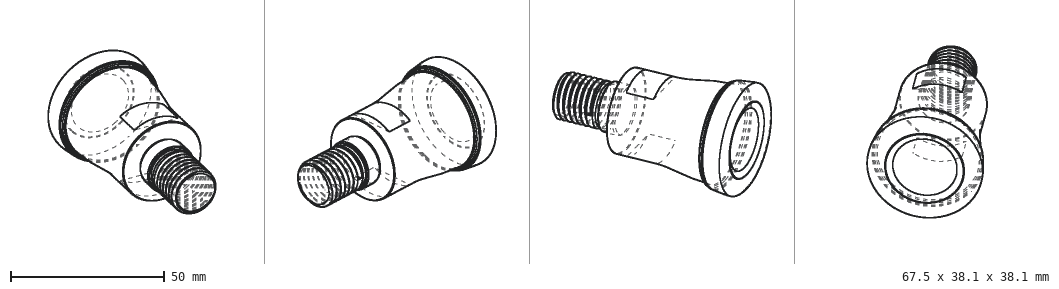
import cadquery as cq
import math

length = 67.45

recess_floor_radius = 10.6
recess_floor_x = 1.4
recess_mouth_radius = 12.8
recess_mouth_x = 0.5
lip_radius = 13.1
lip_x = 0.6
rim_peak_radius = 15.5
rim_shoulder_radius = 18.1
rim_shoulder_x = 0.4
head_radius = 38.1 / 2
head_edge_x = 1.3
head_land_end_x = 2.35

head_rear_radius = 18.4
groove_start_x = 7.75
groove_end_x = 8.2
groove_floor_radius = 18.1
collar_radius = 18.2
collar_edge_radius = 17.9
collar_chamfer_start_x = 9.05
collar_end_radius = 17.4
head_end_x = 9.45

waist_head_radius = 16.85
waist_cone_radius = 16.3
waist_cone_end_x = 16.2
waist_middle_radius = 15.6
waist_middle_x = 20.9
waist_body_radius = 14.7
waist_arc_end_x = 26.1
body_radius = 14.5
body_start_x = 29.1
body_end_x = 44.4
body_chamfer = 0.3

flat_spacing = 24.0
flat_width = 10.0
flat_center_x = 35.35
flat_fillet = 0.4

spigot_radius = 8.5
spigot_lead_radius = 8.15
spigot_lead_end_x = 45.2
spigot_end_x = 50.6
spigot_chamfer = 0.4
undercut_radius = 14.9 / 2
undercut_end_x = 51.8
thread_start_x = 52.6

thread_radius = 8.0
thread_root_radius = 6.75
ten_turn_advance = 20.0
thread_pitch = ten_turn_advance / 10
thread_root_width = 0.3
thread_flank_angle = 30.0
thread_cut_margin = 0.15
groove_first_x = 53.8
groove_run_out = 1.0
end_chamfer = 0.95


def turned_body():
    """Revolve the half outline, drawn as (X, radius), about the X axis."""
    outline = (
        cq.Workplane("XY")
        .moveTo(recess_floor_x, 0)
        .lineTo(recess_floor_x, recess_floor_radius)
        .lineTo(recess_mouth_x, recess_mouth_radius)
        .lineTo(lip_x, lip_radius)
        .spline(
            [
                (0, rim_peak_radius),
                (rim_shoulder_x, rim_shoulder_radius),
                (head_edge_x, head_radius),
            ],
            tangents=[None, (0, 1), None, None],
            includeCurrent=True,
        )
        .lineTo(head_land_end_x, head_radius)
        .lineTo(groove_start_x, head_rear_radius)
        .lineTo(groove_start_x, groove_floor_radius)
        .lineTo(groove_end_x, groove_floor_radius)
        .lineTo(groove_end_x, collar_radius)
        .lineTo(collar_chamfer_start_x, collar_edge_radius)
        .lineTo(head_end_x, collar_end_radius)
        .lineTo(head_end_x, waist_head_radius)
        .lineTo(waist_cone_end_x, waist_cone_radius)
        .threePointArc((waist_middle_x, waist_middle_radius), (waist_arc_end_x, waist_body_radius))
        .lineTo(body_start_x, body_radius)
        .lineTo(body_end_x - body_chamfer, body_radius)
        .lineTo(body_end_x, body_radius - body_chamfer)
        .lineTo(body_end_x, spigot_lead_radius)
        .lineTo(spigot_lead_end_x, spigot_radius)
        .lineTo(spigot_end_x - spigot_chamfer, spigot_radius)
        .lineTo(spigot_end_x, spigot_radius - spigot_chamfer)
        .lineTo(spigot_end_x, undercut_radius)
        .lineTo(undercut_end_x, undercut_radius)
        .lineTo(thread_start_x, thread_radius)
        .lineTo(length - end_chamfer, thread_radius)
        .lineTo(length, thread_radius - end_chamfer)
        .lineTo(length, 0)
        .close()
    )
    return outline.revolve(360, (0, 0, 0), (1, 0, 0))


def flat_cutter(side):
    """Block that mills one wrench flat on the +Z (side = 1) or -Z (side = -1) face."""
    depth = body_radius
    block = cq.Workplane("XY").box(flat_width, 2 * body_radius, depth)
    block = block.edges("|Y").fillet(flat_fillet)
    return block.translate((flat_center_x, 0, side * (flat_spacing + depth) / 2))


def thread_cutter():
    """V-shaped ridge swept along a helix, starting on the +Y side of the stub."""
    outer_radius = thread_radius + thread_cut_margin
    root_half = thread_root_width / 2
    flank_run = (outer_radius - thread_root_radius) * math.tan(math.radians(thread_flank_angle))
    outer_half = root_half + flank_run
    helix_height = length + groove_run_out - groove_first_x
    helix = cq.Wire.makeHelix(thread_pitch, helix_height, thread_root_radius)
    ridge = (
        cq.Workplane("XZ")
        .moveTo(thread_root_radius, -root_half)
        .lineTo(outer_radius, -outer_half)
        .lineTo(outer_radius, outer_half)
        .lineTo(thread_root_radius, root_half)
        .close()
        .sweep(cq.Workplane(obj=helix), isFrenet=True)
    )
    ridge = ridge.rotate((0, 0, 0), (1, 1, 1), 120)
    return ridge.translate((groove_first_x, 0, 0))


result = turned_body()
for side in (1, -1):
    result = result.cut(flat_cutter(side))
threaded = result.cut(thread_cutter())
result = cq.Workplane(obj=max(threaded.solids().vals(), key=lambda solid: solid.Volume()))